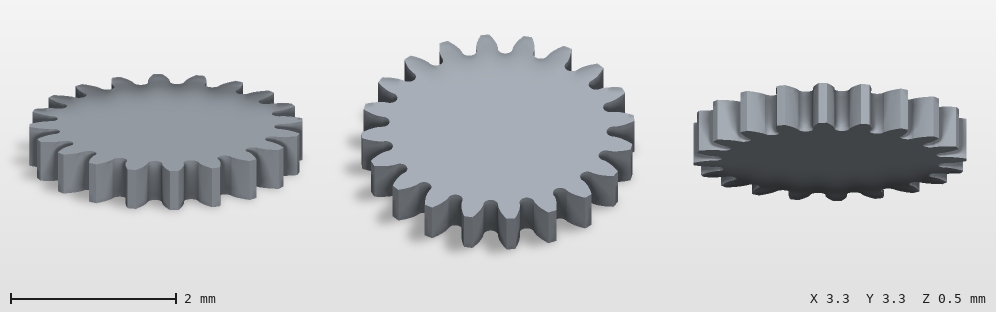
import cadquery as cq
import math

tooth_count = 20
tip_diameter = 3.3
thickness = 0.5
pressure_angle = math.radians(20)
dedendum_factor = 1.25

module = tip_diameter / (tooth_count + 2)
tip_radius = tip_diameter / 2
pitch_radius = module * tooth_count / 2
base_radius = pitch_radius * math.cos(pressure_angle)
root_radius = pitch_radius - dedendum_factor * module
tooth_pitch = 2 * math.pi / tooth_count
flank_samples = 6


def polar(radius, angle):
    return (radius * math.cos(angle), radius * math.sin(angle))


def involute_angle(radius):
    """Angle swept by the involute between the base circle and a radius."""
    roll = math.sqrt((radius / base_radius) ** 2 - 1)
    return roll - math.atan(roll)


def half_tooth_angle(radius):
    """Half of the angle covered by one tooth at a radius."""
    return tooth_pitch / 4 + involute_angle(pitch_radius) - involute_angle(radius)


def gear_outline():
    """Closed outline: involute flanks, tip circle arcs and round gullets."""
    step = (tip_radius - base_radius) / (flank_samples - 1)
    radii = [base_radius + i * step for i in range(flank_samples - 1)] + [tip_radius]
    base_half_angle = half_tooth_angle(base_radius)
    tip_half_angle = half_tooth_angle(tip_radius)

    outline = cq.Workplane("XY").moveTo(*polar(base_radius, -base_half_angle))
    for tooth in range(tooth_count):
        center = tooth * tooth_pitch
        rising = [polar(r, center - half_tooth_angle(r)) for r in radii]
        falling = [polar(r, center + half_tooth_angle(r)) for r in reversed(radii)]
        next_base = polar(base_radius, center + tooth_pitch - base_half_angle)
        outline = outline.spline(rising[1:], includeCurrent=True)
        tip_end = polar(tip_radius, center + tip_half_angle)
        outline = outline.threePointArc(polar(tip_radius, center), tip_end)
        outline = outline.spline(falling[1:], includeCurrent=True)
        outline = outline.threePointArc(polar(root_radius, center + tooth_pitch / 2), next_base)
    return outline.close()


result = gear_outline().extrude(thickness)